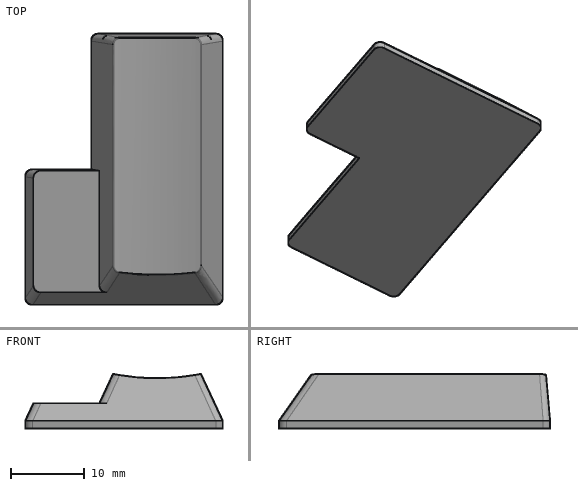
import cadquery as cq
import math

width = 27.0
length = 37.05
height = 7.5

cap_width = 18.0
step_length = 18.52
step_width = width - cap_width / 2

skirt_height = 1.05
step_height = 3.5

side_draft = 25.0
back_draft = 5.0
front_draft = 35.0

skirt_radius = 1.0
top_radius = 0.93

dish_depth = 0.6

rim_radius = 0.1

right_edge = width / 2
left_edge = -width / 2
front_edge = -length / 2
back_edge = length / 2
cap_center_x = right_edge - cap_width / 2


def lean(draft, rise):
    """Horizontal inset of a wall leaning by draft degrees over a given rise."""
    return rise * math.tan(math.radians(draft))


def outline(x_min, x_max, y_max, z):
    """Rounded rectangular section of a block at height z."""
    rise = max(z - skirt_height, 0)
    taper = rise / (height - skirt_height)
    radius = skirt_radius + (top_radius - skirt_radius) * taper
    x0 = x_min + lean(side_draft, rise)
    x1 = x_max - lean(side_draft, rise)
    y0 = front_edge + lean(front_draft, rise)
    y1 = y_max - lean(back_draft, rise)
    return (
        cq.Sketch()
        .push([((x0 + x1) / 2, (y0 + y1) / 2)])
        .rect(x1 - x0, y1 - y0)
        .reset()
        .vertices()
        .fillet(radius)
        .moved(cq.Location(cq.Vector(0, 0, z)))
    )


def keycap_block(x_min, x_max, y_max, top):
    """Straight skirt below a body with leaning walls."""
    skirt = cq.Workplane("XY").placeSketch(outline(x_min, x_max, y_max, 0)).extrude(skirt_height)
    body = (
        cq.Workplane("XY")
        .placeSketch(
            outline(x_min, x_max, y_max, skirt_height),
            outline(x_min, x_max, y_max, top),
        )
        .loft(ruled=True)
    )
    return skirt.union(body)


def finger_dish():
    """Long cylinder that hollows the cap top between its two side edges."""
    half_chord = cap_width / 2 - lean(side_draft, height - skirt_height)
    radius = (half_chord**2 + dish_depth**2) / (2 * dish_depth)
    axis_z = height - dish_depth + radius
    return (
        cq.Workplane("XZ")
        .center(cap_center_x, axis_z)
        .circle(radius)
        .extrude(length / 2, both=True)
    )


cap = keycap_block(right_edge - cap_width, right_edge, back_edge, height)
dished_cap = cap.cut(finger_dish())
dish_center = (cap_center_x, 0, height - dish_depth)
dish_face = dished_cap.faces(cq.selectors.NearestToPointSelector(dish_center))
softened_cap = dish_face.edges().fillet(rim_radius)
step = keycap_block(left_edge, left_edge + step_width, front_edge + step_length, step_height)

result = softened_cap.union(step)